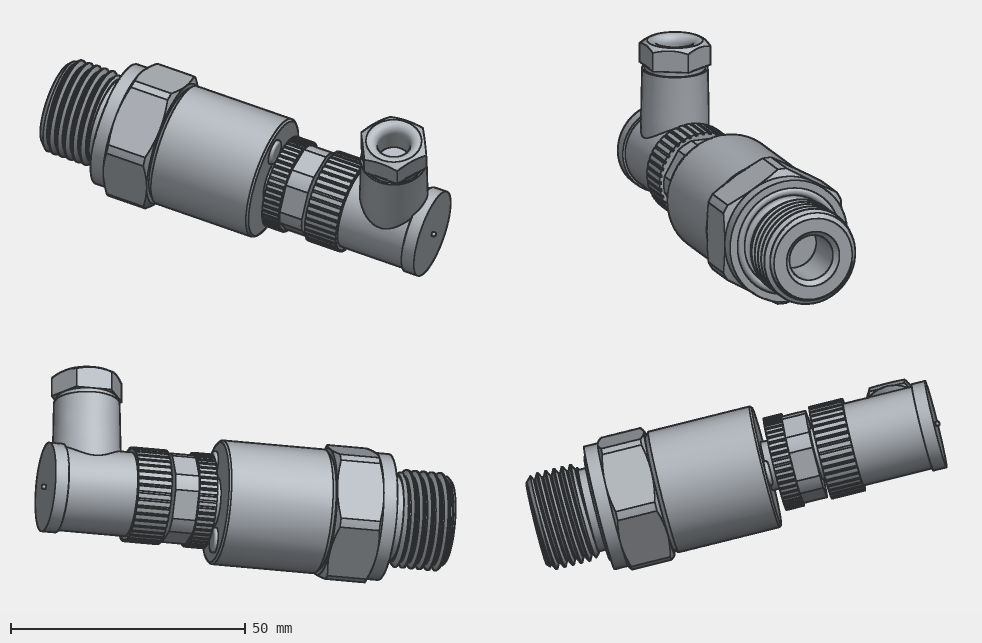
import cadquery as cq
import math


thread_end_x = 11.4
collar_x = 13.8
hex_x = 16.85
barrel_x = 27.0
barrel_end_x = 50.6
socket_end_x = 56.7

thread_diameter = 20.9
core_diameter = 18.6
neck_diameter = 18.0
hex_across_flats = 27.0
hex_corner_diameter = 30.15
barrel_diameter = 26.6
socket_diameter = 10.6

thread_start_x = 0.5
thread_turns = 6
thread_pitch = (thread_end_x - thread_start_x) / thread_turns
thread_crest = 0.3
thread_overlap = 0.2
thread_overrun_turns = 2
flank_angle = 27.5
neck_fillet = 0.9
hex_bevel_angle = 27
hex_turn_angle = 30
barrel_front_chamfer = 0.9
barrel_back_chamfer = 0.4
port_diameter = 10.0
port_mouth_diameter = 12.15
port_depth = 10.6
screw_diameter = 5.4
screw_height = 0.8
screw_rounding = 0.5
screw_offset = 8.8

seal_mean_radius = 11.0
seal_section_radius = 0.9
seal_projection = 0.5

coupling_x = 52.5
coupling_hex_x = 56.4
coupling_end_x = 61.5
coupling_across_flats = 18.0
coupling_corner_diameter = 19.1

elbow_neck_diameter = 11.2
grip_x = 62.5
elbow_x = 69.8
cap_x = 84.9
cap_end_x = 87.9
elbow_diameter = 18.0
cap_diameter = 19.1
tip_diameter = 1.0
tip_x = 88.7
tip_rounding = 0.35

knurl_diameter = 20.2
knurl_groove_width = 0.4
knurl_groove_depth = 0.35
coupling_groove_count = 48
grip_groove_count = 40

outlet_x = 78.8
outlet_base_diameter = 14.5
outlet_top_diameter = 14.1
outlet_top_z = 19.95
gland_hex_z = 21.0
gland_top_z = 26.15
gland_across_flats = 13.3
gland_neck_diameter = 13.1
gland_bevel_diameter = 11.9
gland_bevel_angle = 30
gland_mouth_diameter = 10.7
gland_bore_diameter = 7.0


def x_cylinder(start_x, end_x, diameter):
    """Cylinder on the X axis between two stations."""
    return cq.Workplane("YZ", origin=(start_x, 0, 0)).circle(diameter / 2).extrude(end_x - start_x)


def x_revolve(points):
    """Solid of revolution about the X axis from (x, radius) points."""
    return cq.Workplane("XY").polyline(points).close().revolve(360, (0, 0, 0), (1, 0, 0))


def x_hexagon(start_x, end_x, across_flats, corner_diameter):
    """Hexagonal bar on the X axis with flats at +Z and -Z, corners turned to a diameter."""
    point_diameter = across_flats / math.cos(math.pi / 6)
    bar = cq.Workplane("YZ", origin=(start_x, 0, 0)).polygon(6, point_diameter)
    bar = bar.extrude(end_x - start_x)
    return bar.intersect(x_cylinder(start_x, end_x, corner_diameter))


def knurled_ring(start_x, end_x, groove_count):
    """Ring blank with straight grooves cut along its rim."""
    length = end_x - start_x
    grooves = (
        cq.Workplane("YZ", origin=(start_x, 0, 0))
        .polarArray(knurl_diameter / 2, 0, 360, groove_count)
        .rect(2 * knurl_groove_depth, knurl_groove_width)
        .extrude(length)
    )
    return x_cylinder(start_x, end_x, knurl_diameter).cut(grooves)


def helical_ridge(start_x, length, profile):
    """Solid wound about the X axis from a closed profile of (x offset, radius) corners."""
    axis = cq.Vector(1, 0, 0)
    helices = [
        cq.Wire.makeHelix(thread_pitch, length, radius, cq.Vector(start_x + offset, 0, 0), axis)
        for offset, radius in profile
    ]
    faces = []
    for index, helix in enumerate(helices):
        flank = cq.Face.makeRuledSurface(helices[index - 1], helix)
        faces.extend(flank.Faces())
    for corners in ([h.startPoint() for h in helices], [h.endPoint() for h in helices]):
        faces.append(cq.Face.makeFromWires(cq.Wire.makePolygon(corners, close=True)))
    return cq.Workplane(cq.Solid.makeSolid(cq.Shell.makeShell(faces)))


def threaded_spigot():
    """Round core with one helical ridge, both bevelled at the ends of the thread."""
    root_radius = core_diameter / 2
    crest_radius = thread_diameter / 2
    inner_radius = root_radius - thread_overlap
    crest_half = thread_crest / 2
    flank_slope = math.tan(math.radians(flank_angle))
    inner_half = crest_half + (crest_radius - inner_radius) * flank_slope
    overrun = thread_overrun_turns * thread_pitch
    ridge = helical_ridge(
        thread_start_x - overrun,
        thread_end_x + 2 * overrun,
        [
            (-inner_half, inner_radius),
            (-crest_half, crest_radius),
            (crest_half, crest_radius),
            (inner_half, inner_radius),
        ],
    )
    face_radius = neck_diameter / 2
    envelope = x_revolve(
        [
            (0, 0),
            (0, face_radius),
            (crest_radius - face_radius, crest_radius),
            (thread_end_x - crest_radius + root_radius, crest_radius),
            (thread_end_x, root_radius),
            (thread_end_x, 0),
        ]
    )
    core = x_cylinder(0, thread_end_x, core_diameter).intersect(envelope)
    return core.union(ridge.intersect(envelope))


def sensor_hexagon():
    """Wrench hexagon with points at +Z and -Z, both ends bevelled to the across-flats circle."""
    flat_radius = hex_across_flats / 2
    corner_radius = hex_corner_diameter / 2
    bevel_length = (corner_radius - flat_radius) * math.tan(math.radians(hex_bevel_angle))
    bevels = x_revolve(
        [
            (hex_x, 0),
            (hex_x, flat_radius),
            (hex_x + bevel_length, corner_radius),
            (barrel_x - bevel_length, corner_radius),
            (barrel_x, flat_radius),
            (barrel_x, 0),
        ]
    )
    hexagon = x_hexagon(hex_x, barrel_x, hex_across_flats, hex_corner_diameter)
    return hexagon.rotate((0, 0, 0), (1, 0, 0), hex_turn_angle).intersect(bevels)


def barrel():
    """Sensor barrel with both rims chamfered and two round-edged screws on its back face."""
    body = x_cylinder(barrel_x, barrel_end_x, barrel_diameter)
    body = body.faces("<X").chamfer(barrel_front_chamfer).faces(">X").chamfer(barrel_back_chamfer)
    for screw_z in (-screw_offset, screw_offset):
        screw = x_cylinder(barrel_end_x, barrel_end_x + screw_height, screw_diameter)
        screw = screw.faces(">X").edges().fillet(screw_rounding).translate((0, 0, screw_z))
        body = body.union(screw)
    return body


def seal_ring():
    """Round seal ring standing out of the collar face."""
    axis = cq.Vector(1, 0, 0)
    center_x = collar_x - seal_projection + seal_section_radius
    center = cq.Vector(center_x, 0, 0)
    return cq.Workplane(cq.Solid.makeTorus(seal_mean_radius, seal_section_radius, center, axis))


def neck_fillet_ring():
    """Concave rounding where the neck meets the collar."""
    neck_radius = neck_diameter / 2
    start = (collar_x - neck_fillet, neck_radius)
    rim = (collar_x, neck_radius + neck_fillet)
    reach = neck_fillet * math.sqrt(0.5)
    middle = (start[0] + reach, rim[1] - reach)
    return (
        cq.Workplane("XY")
        .moveTo(*start)
        .threePointArc(middle, rim)
        .lineTo(collar_x, 0)
        .lineTo(start[0], 0)
        .close()
        .revolve(360, (0, 0, 0), (1, 0, 0))
    )


def sensor_body():
    """Threaded spigot, collar, hexagon, barrel and connector socket in one piece."""
    collar = x_cylinder(collar_x, hex_x, hex_across_flats)
    neck = x_cylinder(thread_end_x, collar_x, neck_diameter)
    body = neck.union(neck_fillet_ring()).union(collar).union(sensor_hexagon())
    body = body.union(barrel()).union(threaded_spigot())
    body = body.union(x_cylinder(barrel_end_x, socket_end_x, socket_diameter))
    mouth_length = (port_mouth_diameter - port_diameter) / 2
    port = x_revolve(
        [
            (0, 0),
            (0, port_mouth_diameter / 2),
            (mouth_length, port_diameter / 2),
            (port_depth, port_diameter / 2),
            (port_depth, 0),
        ]
    )
    return body.cut(port).cut(seal_ring())


def coupling_nut():
    """Knurled and hexagonal nut around the socket and the elbow neck."""
    nut = knurled_ring(coupling_x, coupling_hex_x, coupling_groove_count).union(
        x_hexagon(coupling_hex_x, coupling_end_x, coupling_across_flats, coupling_corner_diameter)
    )
    socket_bore = x_cylinder(coupling_x, socket_end_x, socket_diameter)
    neck_bore = x_cylinder(socket_end_x, coupling_end_x, elbow_neck_diameter)
    return nut.cut(socket_bore).cut(neck_bore)


def cable_outlet():
    """Outlet pipe rising from the elbow axis, slightly tapered above the elbow top."""
    taper_z = elbow_diameter / 2
    base_radius = outlet_base_diameter / 2
    return (
        cq.Workplane("XZ")
        .polyline(
            [
                (0, 0),
                (base_radius, 0),
                (base_radius, taper_z),
                (outlet_top_diameter / 2, outlet_top_z),
                (0, outlet_top_z),
            ]
        )
        .close()
        .revolve(360, (0, 0, 0), (0, 1, 0))
        .translate((outlet_x, 0, 0))
    )


def elbow_connector():
    """Neck, knurled grip, elbow body with cable outlet, and end cap with a small tip."""
    tip = x_cylinder(cap_end_x, tip_x, tip_diameter).faces(">X").edges().fillet(tip_rounding)
    return (
        x_cylinder(socket_end_x, grip_x, elbow_neck_diameter)
        .union(knurled_ring(grip_x, elbow_x, grip_groove_count))
        .union(x_cylinder(elbow_x, cap_x, elbow_diameter))
        .union(cable_outlet())
        .union(x_cylinder(cap_x, cap_end_x, cap_diameter))
        .union(tip)
    )


def gland_nut():
    """Hexagonal gland nut with a bevelled top, a short round neck and a flared bore."""
    point_diameter = gland_across_flats / math.cos(math.pi / 6)
    point_radius = point_diameter / 2
    bevel_radius = gland_bevel_diameter / 2
    bevel_height = (point_radius - bevel_radius) * math.tan(math.radians(gland_bevel_angle))
    hexagon = cq.Workplane("XY", origin=(0, 0, gland_hex_z)).polygon(6, point_diameter)
    hexagon = hexagon.extrude(gland_top_z - gland_hex_z)
    bevel = (
        cq.Workplane("XZ")
        .polyline(
            [
                (0, gland_hex_z),
                (point_radius, gland_hex_z),
                (point_radius, gland_top_z - bevel_height),
                (bevel_radius, gland_top_z),
                (0, gland_top_z),
            ]
        )
        .close()
        .revolve(360, (0, 0, 0), (0, 1, 0))
    )
    neck = cq.Workplane("XY", origin=(0, 0, outlet_top_z)).circle(gland_neck_diameter / 2)
    neck = neck.extrude(gland_hex_z - outlet_top_z)
    nut = hexagon.intersect(bevel).union(neck)
    nut = nut.faces(">Z").workplane().hole(gland_bore_diameter)
    flare_radius = (gland_mouth_diameter - gland_bore_diameter) / 2
    nut = nut.faces(">Z").edges(cq.selectors.RadiusNthSelector(0)).fillet(flare_radius)
    return nut.translate((outlet_x, 0, 0))


result = cq.Compound.makeCompound(
    [
        sensor_body().val(),
        seal_ring().val(),
        coupling_nut().val(),
        elbow_connector().val(),
        gland_nut().val(),
    ]
)